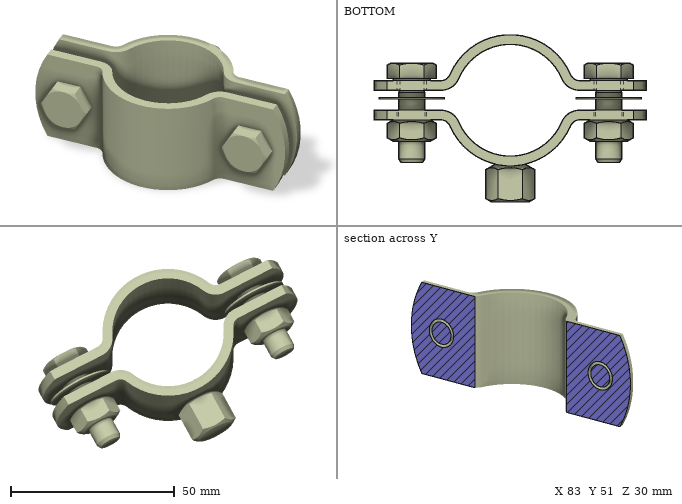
import math

import cadquery as cq


band_width = 30.0
band_thickness = 3.0
ring_inner_radius = 17.0
ring_outer_radius = ring_inner_radius + band_thickness
clamp_gap = 6.0
ear_inner_y = clamp_gap / 2
ear_outer_y = ear_inner_y + band_thickness
clamp_half_length = 41.5
ear_end_radius = 30.0

bend_inner_radius = 3.0
bend_outer_radius = bend_inner_radius + band_thickness
bend_center_y = ear_outer_y + bend_inner_radius
bend_center_distance = ring_outer_radius + bend_inner_radius
bend_center_x = math.sqrt(bend_center_distance**2 - bend_center_y**2)
bend_angle = math.degrees(math.atan2(bend_center_y, bend_center_x))

bolt_spacing = 60.0
bolt_hole_diameter = 9.0
bolt_length = 25.0
thread_diameter = 8.0
thread_length = 22.0
thread_root_diameter = 6.65
shank_diameter = 7.32
head_height = 5.3
washer_face_height = 0.6
washer_face_diameter = 11.4
bolt_seat_y = -ear_outer_y
bolt_tip_y = bolt_seat_y + bolt_length
thread_start_y = bolt_tip_y - thread_length

hex_flats = 13.0
hex_corners = hex_flats / math.cos(math.radians(30))
chamfer_angle = 30.0
nut_height = 6.5
nut_end_diameter = 11.4

disc_diameter = 20.0
disc_thickness = 0.5
disc_bottom_y = -0.85

coupling_top_y = 31.0
coupling_base_y = 19.4
coupling_top_diameter = 11.4
coupling_base_diameter = 9.0


def polar(radius, angle, center=(0.0, 0.0)):
    """Point at a radius and an angle in degrees around a center."""
    turn = math.radians(angle)
    return (center[0] + radius * math.cos(turn), center[1] + radius * math.sin(turn))


def mirror_x(point):
    return (-point[0], point[1])


def revolve_about_y(outline):
    """Solid of revolution about Y from (radius, y) corners."""
    return cq.Workplane("XY").polyline(outline).close().revolve(360, (0, 0, 0), (0, 1, 0))


def y_cylinder(diameter, bottom_y, top_y):
    radius = diameter / 2
    return revolve_about_y([(0, bottom_y), (radius, bottom_y), (radius, top_y), (0, top_y)])


def hex_prism(bottom_y, top_y):
    return (
        cq.Workplane("XZ", origin=(0, top_y, 0))
        .polygon(6, hex_corners)
        .extrude(top_y - bottom_y)
    )


def turn_hex_end(prism, end_y, end_diameter, inward):
    """Cone the corners of a hexagon down to a circle at end_y; inward is +1 or -1 along Y."""
    end_radius = end_diameter / 2
    corner_radius = hex_corners / 2
    depth = (corner_radius - end_radius) * math.tan(math.radians(chamfer_angle))
    outside_corner = revolve_about_y([
        (end_radius, end_y),
        (corner_radius, end_y),
        (corner_radius, end_y + inward * depth),
    ])
    return prism.cut(outside_corner)


def hex_nut(bottom_y, top_y, bottom_diameter, top_diameter):
    """Solid hexagon along Y whose corners are turned down at both ends."""
    nut = turn_hex_end(hex_prism(bottom_y, top_y), bottom_y, bottom_diameter, 1)
    return turn_hex_end(nut, top_y, top_diameter, -1)


def rounded_ends():
    """Block along Y with the arched end outline of the ears."""
    half_width = band_width / 2
    arc_center_x = clamp_half_length - ear_end_radius
    corner_x = arc_center_x + math.sqrt(ear_end_radius**2 - half_width**2)
    return (
        cq.Workplane("XZ")
        .moveTo(-corner_x, -half_width)
        .lineTo(corner_x, -half_width)
        .threePointArc((clamp_half_length, 0), (corner_x, half_width))
        .lineTo(-corner_x, half_width)
        .threePointArc((-clamp_half_length, 0), (-corner_x, -half_width))
        .close()
        .extrude(-ring_outer_radius)
    )


def clamp_half():
    """Half ring on the +Y side with a bent ear at each end."""
    bend_center = (bend_center_x, bend_center_y)
    bend_end_angle = 180 + bend_angle
    bend_middle_angle = (bend_end_angle + 270) / 2

    outer_joint = polar(ring_outer_radius, bend_angle)
    inner_joint = polar(ring_inner_radius, bend_angle)
    small_middle = polar(bend_inner_radius, bend_middle_angle, bend_center)
    large_middle = polar(bend_outer_radius, bend_middle_angle, bend_center)
    ear_outer_start = (bend_center_x, ear_outer_y)
    ear_outer_end = (clamp_half_length, ear_outer_y)
    ear_inner_end = (clamp_half_length, ear_inner_y)
    ear_inner_start = (bend_center_x, ear_inner_y)

    band = (
        cq.Workplane("XY", origin=(0, 0, -band_width / 2))
        .moveTo(*outer_joint)
        .threePointArc((0, ring_outer_radius), mirror_x(outer_joint))
        .threePointArc(mirror_x(small_middle), mirror_x(ear_outer_start))
        .lineTo(*mirror_x(ear_outer_end))
        .lineTo(*mirror_x(ear_inner_end))
        .lineTo(*mirror_x(ear_inner_start))
        .threePointArc(mirror_x(large_middle), mirror_x(inner_joint))
        .threePointArc((0, ring_inner_radius), inner_joint)
        .threePointArc(large_middle, ear_inner_start)
        .lineTo(*ear_inner_end)
        .lineTo(*ear_outer_end)
        .lineTo(*ear_outer_start)
        .threePointArc(small_middle, outer_joint)
        .close()
        .extrude(band_width)
    )
    holes = (
        cq.Workplane("XZ")
        .pushPoints([(-bolt_spacing / 2, 0), (bolt_spacing / 2, 0)])
        .circle(bolt_hole_diameter / 2)
        .extrude(-ear_outer_y)
    )
    return band.intersect(rounded_ends()).cut(holes)


def bolt():
    """Hexagon bolt on the Y axis, its thread modelled as a plain cylinder."""
    head_bottom_y = bolt_seat_y - head_height
    head_top_y = bolt_seat_y - washer_face_height
    head = turn_hex_end(hex_prism(head_bottom_y, head_top_y), head_bottom_y, hex_flats, 1)
    washer_face = y_cylinder(washer_face_diameter, head_top_y, bolt_seat_y)

    thread_radius = thread_diameter / 2
    root_radius = thread_root_diameter / 2
    shank_radius = shank_diameter / 2
    slope = math.tan(math.radians(chamfer_angle))
    tip_chamfer = (thread_radius - root_radius) / slope
    runout = (thread_radius - shank_radius) / slope
    shaft = revolve_about_y([
        (0, bolt_seat_y),
        (shank_radius, bolt_seat_y),
        (shank_radius, thread_start_y),
        (thread_radius, thread_start_y + runout),
        (thread_radius, bolt_tip_y - tip_chamfer),
        (root_radius, bolt_tip_y),
        (0, bolt_tip_y),
    ])
    return head.union(washer_face).union(shaft)


def fastener():
    """Bolt with its retaining disc and nut."""
    disc = y_cylinder(disc_diameter, disc_bottom_y, disc_bottom_y + disc_thickness)
    nut = hex_nut(ear_outer_y, ear_outer_y + nut_height, nut_end_diameter, nut_end_diameter)
    return bolt().union(disc).union(nut)


back_half = clamp_half()
front_half = back_half.mirror("XZ")
coupling = hex_nut(coupling_base_y, coupling_top_y, coupling_base_diameter, coupling_top_diameter)

result = back_half.union(front_half).union(coupling)
for side in (-1, 1):
    result = result.union(fastener().translate((side * bolt_spacing / 2, 0, 0)))